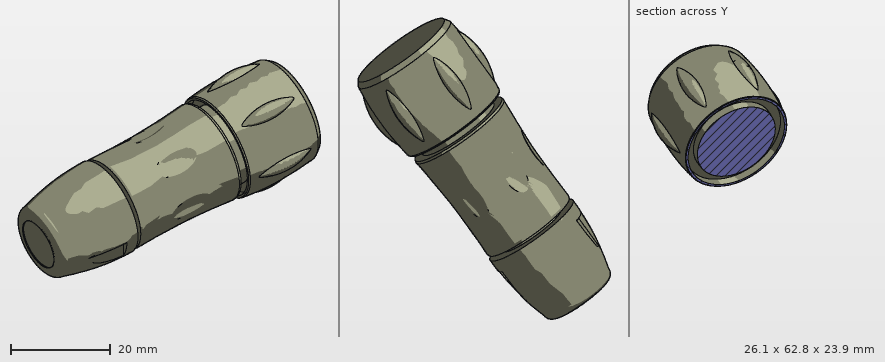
import cadquery as cq
import math

overall_length = 62.8

nut_length = 18.4
nut_end_radius = 11.4
nut_bulge_radius = 11.95
nut_front_chamfer_length = 1.1
nut_front_chamfer_drop = 0.75
nut_back_bevel_length = 0.3
nut_back_bevel_drop = 0.2
nut_recess_radius = 10.75
nut_recess_depth = 1.9

rib_count = 6
rib_axis_radius = 11.3
rib_half_width = 1.75
rib_half_length = 7.1

front_neck_length = 1.6
front_neck_radius = 8.8
rear_neck_length = 0.95
rear_neck_radius = 7.35

body_length = 24.55
body_front_radius = 10.85
body_waist_radius = 10.05
body_back_radius = 10.1
body_bevel_length = 0.5
body_bevel_drop = 0.1

dimple_count = 6
dimple_floor_radius = 9.4
dimple_dish_width_radius = 6.1
dimple_dish_length_radius = 10.1
dimple_from_body_front = 12.45
dimple_edge_round = 0.7

tail_front_radius = 10.3
tail_middle_radius = 9.8
tail_back_radius = 8.05
tip_round_length = 1.45
tip_ring_radius = 6.6
tip_ring_height = 0.2
tip_recess_radius = 5.3
tip_recess_depth = 0.25

flat_half_spacing = 9.2
flat_from_tail_front = 2.75

nut_front = overall_length
nut_back = nut_front - nut_length
body_front = nut_back - front_neck_length
body_back = body_front - body_length
tail_front = body_back - rear_neck_length
tip_round_start = tip_ring_height + tip_round_length


def make_turned_body():
    nut_arc_front = nut_front - nut_front_chamfer_length
    nut_arc_back = nut_back + nut_back_bevel_length
    nut_middle = (nut_arc_front + nut_arc_back) / 2
    body_arc_front = body_front - body_bevel_length
    body_arc_back = body_back + body_bevel_length
    body_middle = (body_arc_front + body_arc_back) / 2
    tail_middle = (tail_front + tip_round_start) / 2

    diagonal = math.sqrt(0.5)
    tip_round_width = tail_back_radius - tip_ring_radius
    tip_round_middle = (
        tip_ring_radius + tip_round_width * diagonal,
        tip_round_start - tip_round_length * diagonal,
    )

    return (
        cq.Workplane("XY")
        .moveTo(0, nut_front)
        .lineTo(nut_end_radius - nut_front_chamfer_drop, nut_front)
        .lineTo(nut_end_radius, nut_arc_front)
        .threePointArc((nut_bulge_radius, nut_middle), (nut_end_radius, nut_arc_back))
        .lineTo(nut_end_radius - nut_back_bevel_drop, nut_back)
        .lineTo(nut_recess_radius, nut_back)
        .lineTo(nut_recess_radius, nut_back + nut_recess_depth)
        .lineTo(front_neck_radius, nut_back + nut_recess_depth)
        .lineTo(front_neck_radius, body_front)
        .lineTo(body_front_radius - body_bevel_drop, body_front)
        .lineTo(body_front_radius, body_arc_front)
        .threePointArc((body_waist_radius, body_middle), (body_back_radius, body_arc_back))
        .lineTo(body_back_radius - body_bevel_drop, body_back)
        .lineTo(rear_neck_radius, body_back)
        .lineTo(rear_neck_radius, tail_front)
        .lineTo(tail_front_radius, tail_front)
        .threePointArc((tail_middle_radius, tail_middle), (tail_back_radius, tip_round_start))
        .threePointArc(tip_round_middle, (tip_ring_radius, tip_ring_height))
        .lineTo(tip_recess_radius, 0)
        .lineTo(tip_recess_radius, tip_recess_depth)
        .lineTo(0, tip_recess_depth)
        .close()
        .revolve(360, (0, 0, 0), (0, 1, 0))
    )


def make_rib():
    """Spindle parallel to Y on the +X side of the nut."""
    rib_middle = nut_front - (nut_length + nut_front_chamfer_length - nut_back_bevel_length) / 2
    spindle = (
        cq.Workplane("XY")
        .moveTo(0, -rib_half_length)
        .threePointArc((rib_half_width, 0), (0, rib_half_length))
        .close()
        .revolve(360, (0, 0, 0), (0, 1, 0))
    )
    return spindle.translate((rib_axis_radius, rib_middle, 0))


def make_dimple_cutter():
    """Ellipsoid whose inner side dishes the +X side of the body."""
    ellipsoid = (
        cq.Workplane("XY")
        .moveTo(0, -dimple_dish_length_radius)
        .ellipseArc(
            dimple_dish_width_radius, dimple_dish_length_radius, -90, 90, startAtCurrent=True
        )
        .close()
        .revolve(360, (0, 0, 0), (0, 1, 0))
    )
    dish_middle = body_front - dimple_from_body_front
    return ellipsoid.translate((dimple_floor_radius + dimple_dish_width_radius, dish_middle, 0))


def make_flat_cutter(side):
    """Block below Z = 0 that removes everything outside the flat on one side (+1 or -1)."""
    depth = tail_front_radius - flat_half_spacing
    length = tail_front - flat_from_tail_front - tip_round_start
    return (
        cq.Workplane("XY")
        .box(depth, length, tail_front_radius, centered=(True, False, False))
        .translate((side * (flat_half_spacing + depth / 2), tip_round_start, -tail_front_radius))
    )


def around_axis(shape, index, count):
    return shape.rotate((0, 0, 0), (0, 1, 0), index * 360 / count)


result = make_turned_body()

dimple_cutter = make_dimple_cutter()
for index in range(dimple_count):
    result = result.cut(around_axis(dimple_cutter, index, dimple_count))

dimple_zone_start = body_front - dimple_from_body_front - dimple_dish_length_radius
dimple_zone_end = dimple_zone_start + 2 * dimple_dish_length_radius
dimple_zone = cq.selectors.BoxSelector(
    (-body_front_radius, dimple_zone_start, -body_front_radius),
    (body_front_radius, dimple_zone_end, body_front_radius),
    boundingbox=True,
)
result = result.edges(dimple_zone).fillet(dimple_edge_round)

rib = make_rib()
for index in range(rib_count):
    result = result.union(around_axis(rib, index, rib_count))

for side in (-1, 1):
    result = result.cut(make_flat_cutter(side))